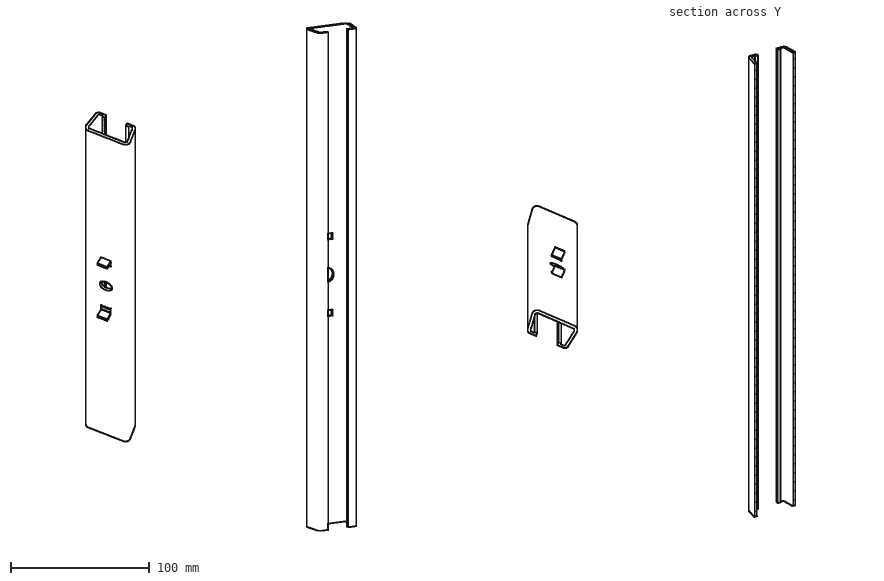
import cadquery as cq
import math

length = 370.0
base_width = 35.0
depth = 18.0
wall = 2.2
wall_lean = 2.5
lip_opening = 16.5
lip_wall = 1.65
edge_depth = 2.4
edge_width = 2.2
base_bend_radius = 3.7
lip_bend_radius = 2.5

hole_diameter = 10.0
tab_width = 7.8
tab_reach = 6.0
tab_thickness = 2.2
tab_inner_offset = 31.5
slot_height = 4.5
slot_inner_offset = 26.3

lean_angle = math.atan2(wall_lean, depth)
bend_trim = base_bend_radius * (math.tan(lean_angle) + 1 / math.cos(lean_angle) - 1)
base_corner = base_width / 2 + bend_trim


def mirrored_outline(half):
    """Close a half outline with its reflection across the YZ plane."""
    return half + [(-x, y) for x, y in reversed(half)]


def channel():
    inner_shift = wall / math.cos(lean_angle)

    def outer_x(y):
        return base_corner - y * math.tan(lean_angle)

    def inner_x(y):
        return outer_x(y) - inner_shift

    base_inner = wall
    lip_inner = depth - lip_wall
    lip_edge_inner = depth - edge_depth
    half = [
        (outer_x(0), 0),
        (outer_x(depth), depth),
        (lip_opening / 2, depth),
        (lip_opening / 2, lip_edge_inner),
        (lip_opening / 2 + edge_width, lip_edge_inner),
        (lip_opening / 2 + edge_width, lip_inner),
        (inner_x(lip_inner), lip_inner),
        (inner_x(base_inner), base_inner),
    ]
    body = cq.Workplane("XY").polyline(mirrored_outline(half)).close().extrude(length)

    def bend(solid, x, y, radius):
        pick = 0.05
        for side in (-1, 1):
            corner = cq.selectors.BoxSelector(
                (side * x - pick, y - pick, 0), (side * x + pick, y + pick, length)
            )
            solid = solid.edges("|Z").edges(corner).fillet(radius)
        return solid

    body = bend(body, outer_x(0), 0, base_bend_radius)
    body = bend(body, inner_x(base_inner), base_inner, base_bend_radius - wall)
    body = bend(body, outer_x(depth), depth, lip_bend_radius)
    return bend(body, inner_x(lip_inner), lip_inner, lip_bend_radius - lip_wall)


def base_hole():
    return (
        cq.Workplane("XZ", origin=(0, wall, length / 2))
        .circle(hole_diameter / 2)
        .extrude(wall)
    )


def slot(direction):
    centre_z = length / 2 + direction * (slot_inner_offset + slot_height / 2)
    return cq.Workplane("XY").box(tab_width, wall, slot_height).translate((0, wall / 2, centre_z))


def tab(direction):
    centre_z = length / 2 + direction * (tab_inner_offset + tab_thickness / 2)
    span = tab_reach + wall
    return (
        cq.Workplane("XY")
        .box(tab_width, span, tab_thickness)
        .translate((0, wall - span / 2, centre_z))
    )


result = channel().cut(base_hole())
for direction in (-1, 1):
    result = result.cut(slot(direction)).union(tab(direction))